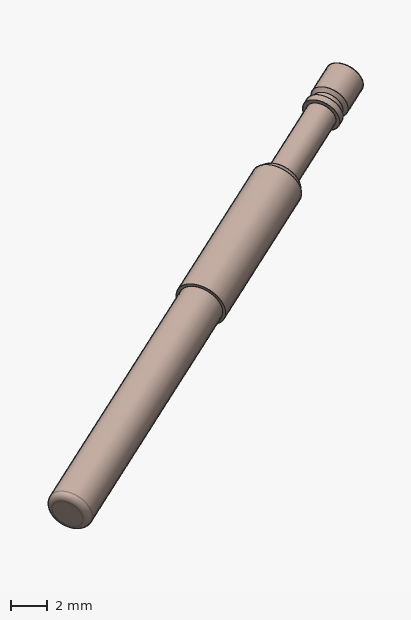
import cadquery as cq

total_length = 35.3

head_radius = 1.13
head_length = 1.95
neck_start = 2.15
neck_end = 2.47
neck_radius = 0.92
waist_radius = 0.85
flange_start = 2.58
flange_end = 3.0

plunger_radius = 1.8 / 2
barrel_start = 8.3
barrel_radius = 3.0 / 2
barrel_chamfer_length = 0.35
barrel_chamfer_depth = 0.2
barrel_end = 18.32

tube_radius = 2.65 / 2
tail_fillet = 0.4

head_face = total_length / 2
tail_face = -total_length / 2


def from_head(distance):
    """Y position at a distance behind the head face."""
    return head_face - distance


def make_plunger():
    """Half outline of head, tapered neck, flange and stem, turned about Y."""
    outline = (
        cq.Workplane("XY")
        .moveTo(0, head_face)
        .lineTo(head_radius, head_face)
        .lineTo(head_radius, from_head(head_length))
        .lineTo(neck_radius, from_head(neck_start))
        .lineTo(waist_radius, from_head(neck_end))
        .lineTo(head_radius, from_head(flange_start))
        .lineTo(head_radius, from_head(flange_end))
        .lineTo(plunger_radius, from_head(flange_end))
        .lineTo(plunger_radius, from_head(barrel_start))
        .lineTo(0, from_head(barrel_start))
        .close()
    )
    return outline.revolve(360, (0, 0, 0), (0, 1, 0))


def make_body():
    """Half outline of the chamfered barrel and the thinner tube, turned about Y."""
    outline = (
        cq.Workplane("XY")
        .moveTo(0, from_head(barrel_start))
        .lineTo(barrel_radius - barrel_chamfer_depth, from_head(barrel_start))
        .lineTo(barrel_radius, from_head(barrel_start + barrel_chamfer_length))
        .lineTo(barrel_radius, from_head(barrel_end))
        .lineTo(tube_radius, from_head(barrel_end))
        .lineTo(tube_radius, tail_face)
        .lineTo(0, tail_face)
        .close()
    )
    body = outline.revolve(360, (0, 0, 0), (0, 1, 0))
    return body.faces("<Y").edges().fillet(tail_fillet)


result = make_plunger().union(make_body())